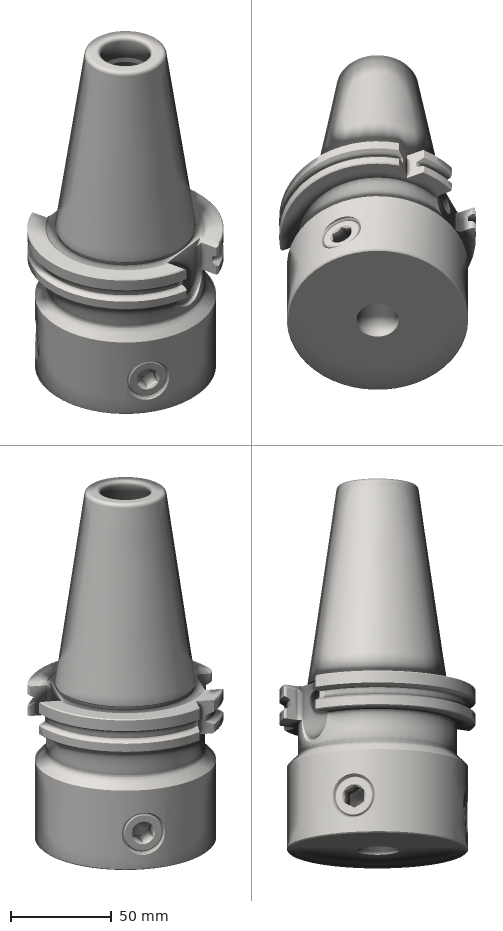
import cadquery as cq
import math


gauge_radius = 69.85 / 2
shank_length = 101.6
taper_slope = 7 / 48
shank_end_radius = gauge_radius - taper_slope * shank_length
shank_end_fillet = 2.2
undercut_depth = 0.5

flange_radius = 97.5 / 2
flange_top = -1.7
flange_bottom = -19.3
flange_chamfer = 0.5
face_recess_radius = 39.2
face_recess_depth = 0.5
groove_center = -11.2
groove_floor_radius = 45.4
groove_floor_width = 3.3
groove_mouth_width = 6.7

neck_radius = 39.4
nose_radius = 45
nose_bottom = -83
nose_top = -40.8
nose_edge_chamfer = 0.6
neck_fillet = 1.4
selection_margin = 0.1

bore_radius = 10.5
counterbore_radius = 12.5
counterbore_depth = 11.6
counterbore_fillet = 1.9
drill_point_slope = math.tan(math.radians(30))
seat_depth = (counterbore_radius - bore_radius) * drill_point_slope

keyways = [(-1, 37.4), (1, 35.3)]
keyway_half_width = 12.85
keyway_floor_half_width = 11
keyway_corner = keyway_half_width - keyway_floor_half_width
keyway_mouth_start = 45.82
keyway_top_half_width = 14.8
keyway_reach = flange_radius + 2
keyway_round_center = flange_bottom

notch_corner = 29.5

data_hole_radius = 5
data_hole_depth = 4.6
data_pilot_radius = 1
data_pilot_depth = 3

screw_angles = [90, 220, 320]
screw_height = nose_bottom + 19
screw_radius = 10
screw_length = 20
screw_face_distance = 43.5
screw_edge_chamfer = 0.7
screw_mouth_radius = 11.1
socket_width = 10
socket_depth = 10.5
socket_tip_depth = socket_width / 2 * drill_point_slope
socket_mouth_radius = 6


def turned_blank():
    """Shank, flange, neck and nose revolved about Z."""
    neck_chamfer_top = nose_top + nose_radius - neck_radius
    recess_floor = flange_top - face_recess_depth
    outline = [
        (0, shank_length),
        (shank_end_radius, shank_length),
        (gauge_radius, 0),
        (gauge_radius - undercut_depth, -undercut_depth),
        (gauge_radius - undercut_depth, recess_floor),
        (face_recess_radius, recess_floor),
        (face_recess_radius + face_recess_depth, flange_top),
        (flange_radius - flange_chamfer, flange_top),
        (flange_radius, flange_top - flange_chamfer),
        (flange_radius, groove_center + groove_mouth_width / 2),
        (groove_floor_radius, groove_center + groove_floor_width / 2),
        (groove_floor_radius, groove_center - groove_floor_width / 2),
        (flange_radius, groove_center - groove_mouth_width / 2),
        (flange_radius, flange_bottom + flange_chamfer),
        (flange_radius - flange_chamfer, flange_bottom),
        (neck_radius, flange_bottom),
        (neck_radius, neck_chamfer_top),
        (nose_radius, nose_top),
        (nose_radius, nose_bottom),
        (0, nose_bottom),
    ]
    blank = cq.Workplane("XZ").polyline(outline).close().revolve(360, (0, 0, 0), (0, 1, 0))
    blank = blank.faces(">Z").edges().fillet(shank_end_fillet)
    blank = blank.faces("<Z").edges().chamfer(nose_edge_chamfer)
    neck_corner = cq.selectors.BoxSelector(
        (-nose_radius, -nose_radius, neck_chamfer_top - selection_margin),
        (nose_radius, nose_radius, neck_chamfer_top + selection_margin),
        boundingbox=True,
    )
    return blank.edges(neck_corner).fillet(neck_fillet)


def bore_cutter():
    """Through bore with a counterbore and conical seat at the shank end."""
    seat_top = shank_length - counterbore_depth
    outline = [
        (0, nose_bottom),
        (bore_radius, nose_bottom),
        (bore_radius, seat_top - seat_depth),
        (counterbore_radius, seat_top),
        (counterbore_radius, shank_length),
        (0, shank_length),
    ]
    return cq.Workplane("XZ").polyline(outline).close().revolve(360, (0, 0, 0), (0, 1, 0))


def keyway_cutter(direction, floor_distance):
    """Slot open at the flange top with a round lower end, bevelled floor corners and flared mouth."""
    half_outline = [
        (floor_distance, 0),
        (floor_distance, keyway_floor_half_width),
        (floor_distance + keyway_corner, keyway_half_width),
        (keyway_mouth_start, keyway_half_width),
        (keyway_reach, keyway_half_width + keyway_reach - keyway_mouth_start),
        (keyway_reach, 0),
    ]
    plane = cq.Workplane("XY", origin=(0, 0, keyway_round_center))
    round_end = plane.polyline(half_outline).close().revolve(360, (0, 0, 0), (1, 0, 0))
    half_slot = plane.polyline(half_outline).close().extrude(flange_top - keyway_round_center)
    slot = half_slot.union(half_slot.mirror("XZ"))

    bevel_drop = keyway_top_half_width - keyway_floor_half_width
    bevel = (
        cq.Workplane("YZ", origin=(floor_distance, 0, flange_top))
        .polyline([
            (-keyway_floor_half_width, -bevel_drop),
            (keyway_floor_half_width, -bevel_drop),
            (keyway_top_half_width, 0),
            (-keyway_top_half_width, 0),
        ])
        .close()
        .extrude(keyway_reach - floor_distance)
    )
    cutter = slot.union(round_end).union(bevel)
    return cutter if direction > 0 else cutter.mirror("YZ")


def notch_cutter():
    """Square corner removed from the flange rim in the -X +Y quadrant."""
    return (
        cq.Workplane("XY", origin=(-notch_corner, notch_corner, flange_bottom))
        .rect(-flange_radius, flange_radius, centered=False)
        .extrude(flange_top - flange_bottom)
    )


def data_hole_cutter():
    """Flat-bottomed hole with a small pilot in the floor of the -X keyway."""
    floor_distance = keyways[0][1]
    floor = cq.Workplane("YZ", origin=(-floor_distance, 0, groove_center))
    hole = floor.circle(data_hole_radius).extrude(data_hole_depth)
    pilot = floor.circle(data_pilot_radius).extrude(data_hole_depth + data_pilot_depth)
    return hole.union(pilot)


def place_radially(body, angle):
    """Turn a body built along +X at the screw height to its place round the nose."""
    return body.rotate((0, 0, 0), (0, 0, 1), angle)


def screw_hole_cutter():
    """Blind screw hole along +X with a chamfered mouth at the nose surface."""
    inner_end = screw_face_distance - screw_length
    mouth_depth = screw_mouth_radius - screw_radius
    mouth_start = screw_face_distance - screw_edge_chamfer
    outline = [
        (inner_end, 0),
        (inner_end, screw_radius),
        (mouth_start, screw_radius),
        (mouth_start + mouth_depth, screw_mouth_radius),
        (nose_radius + mouth_depth, screw_mouth_radius),
        (nose_radius + mouth_depth, 0),
    ]
    plane = cq.Workplane("XY", origin=(0, 0, screw_height))
    return plane.polyline(outline).close().revolve(360, (0, 0, 0), (1, 0, 0))


def clamping_screw():
    """Set screw along +X with a hexagon socket ending in a drill point, two socket flats upright."""
    face = cq.Workplane("YZ", origin=(screw_face_distance, 0, screw_height))
    body = (
        face.circle(screw_radius)
        .extrude(-screw_length)
        .faces(">X")
        .edges()
        .chamfer(screw_edge_chamfer)
    )
    across_corners = socket_width / math.cos(math.radians(30))
    socket = face.transformed(rotate=(0, 0, 90)).polygon(6, across_corners).extrude(-socket_depth)
    mouth_depth = socket_mouth_radius - socket_width / 2
    mouth = cq.Workplane(cq.Solid.makeCone(
        socket_mouth_radius, socket_width / 2, mouth_depth,
        cq.Vector(screw_face_distance, 0, screw_height), cq.Vector(-1, 0, 0)))
    tip = cq.Workplane(cq.Solid.makeCone(
        socket_width / 2, 0, socket_tip_depth,
        cq.Vector(screw_face_distance - socket_depth, 0, screw_height), cq.Vector(-1, 0, 0)))
    return body.cut(socket).cut(mouth).cut(tip)


holder = turned_blank().cut(bore_cutter())
holder = holder.faces(">Z").edges(cq.selectors.RadiusNthSelector(0)).fillet(counterbore_fillet)
for keyway_direction, keyway_floor in keyways:
    holder = holder.cut(keyway_cutter(keyway_direction, keyway_floor))
holder = holder.cut(notch_cutter()).cut(data_hole_cutter())
for screw_angle in screw_angles:
    holder = holder.cut(place_radially(screw_hole_cutter(), screw_angle))

screws = [place_radially(clamping_screw(), screw_angle).val() for screw_angle in screw_angles]

result = cq.Compound.makeCompound([holder.val(), *screws])